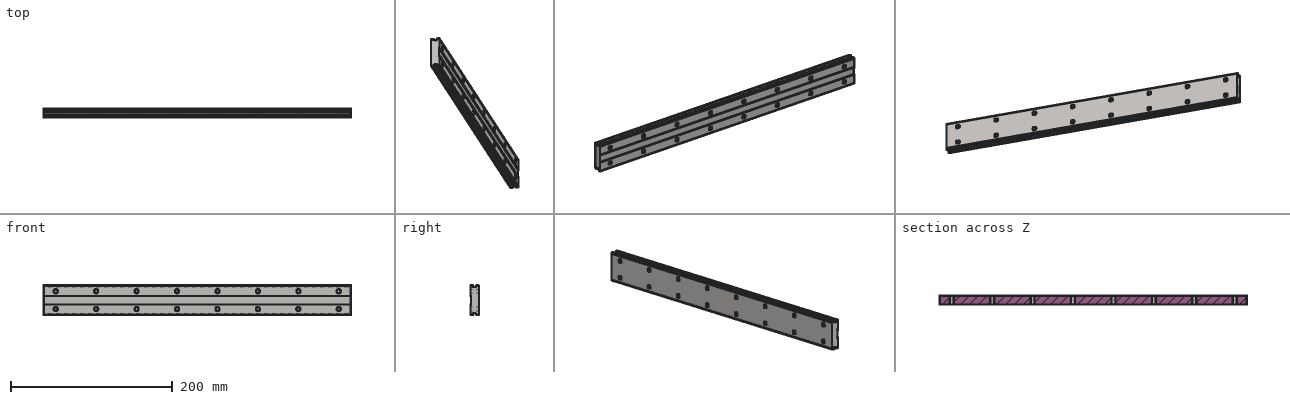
import cadquery as cq
import math

length = 380.0
thickness = 11.0
height = 37.0

front_chamfer = 0.8

raceway_depth = 2.1
front_edge_width = 3.1
raceway_fillet = 1.0

lip_crest_width = 0.95
shallow_bevel_run = 0.85
shallow_bevel_drop = 0.45
steep_bevel_run = 0.8
steep_bevel_drop = 0.95

relief_height = 10.3
relief_depth = 0.8

hole_diameter = 4.5
hole_count = 8
hole_pitch = 50.0
hole_row_spacing = 22.0
hole_row_count = 2


def rail_body():
    """Extrude the rail section, which is symmetric about its middle height."""
    front = -thickness / 2
    back = thickness / 2
    top = height / 2

    raceway_floor = top - raceway_depth
    raceway_wall = front + front_edge_width
    fillet_inset = raceway_fillet * (1 - math.sqrt(0.5))

    shallow_bevel_z = top - shallow_bevel_drop
    steep_bevel_y = back - steep_bevel_run
    crest_back_y = steep_bevel_y - shallow_bevel_run
    crest_front_y = crest_back_y - lip_crest_width
    lip_front_y = crest_front_y - shallow_bevel_run

    floor_back_y = lip_front_y - (shallow_bevel_z - raceway_floor)

    upper_half = (
        cq.Workplane("YZ")
        .moveTo(front + relief_depth, 0)
        .lineTo(front + relief_depth, relief_height / 2)
        .lineTo(front, relief_height / 2)
        .lineTo(front, top - front_chamfer)
        .lineTo(front + front_chamfer, top)
        .lineTo(raceway_wall, top)
        .lineTo(raceway_wall, raceway_floor + raceway_fillet)
        .threePointArc(
            (raceway_wall + fillet_inset, raceway_floor + fillet_inset),
            (raceway_wall + raceway_fillet, raceway_floor),
        )
        .lineTo(floor_back_y, raceway_floor)
        .lineTo(lip_front_y, shallow_bevel_z)
        .lineTo(crest_front_y, top)
        .lineTo(crest_back_y, top)
        .lineTo(steep_bevel_y, shallow_bevel_z)
        .lineTo(back, shallow_bevel_z - steep_bevel_drop)
        .lineTo(back, 0)
        .close()
    )
    upper_body = upper_half.extrude(length / 2, both=True)
    return upper_body.union(upper_body.mirror("XY")).clean()


def mounting_holes():
    """Return the cylinders that cut both rows of through holes."""
    return (
        cq.Workplane("XZ")
        .rarray(hole_pitch, hole_row_spacing, hole_count, hole_row_count)
        .circle(hole_diameter / 2)
        .extrude(thickness, both=True)
    )


result = rail_body().cut(mounting_holes())